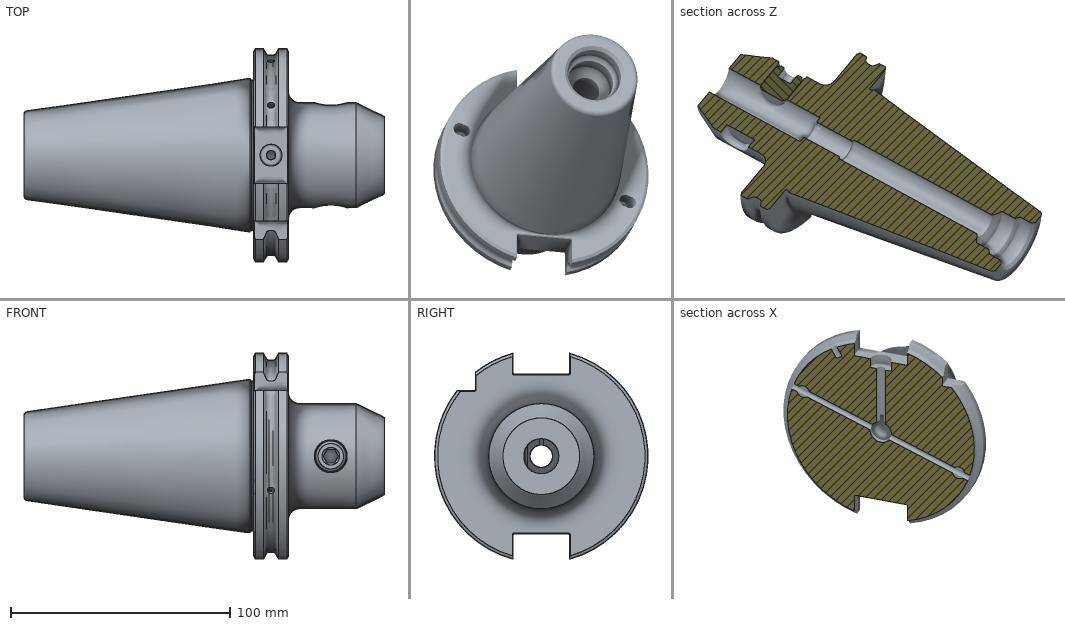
import cadquery as cq
import math


gauge_radius = 69.85 / 2
taper_length = 101.75
taper_slope = 7 / 48
small_end_radius = gauge_radius - taper_length * taper_slope
small_end_fillet = 2.0
collar_start_x = 0.5
collar_radius = gauge_radius + collar_start_x * taper_slope
collar_end_x = 1.4
neck_start_x = 2.2
neck_radius = 34.3

flange_radius = 97.5 / 2
flange_start_x = 3.2
flange_end_x = 19.1
flange_edge_chamfer_axial = 0.8
flange_edge_chamfer_radial = 1.4
groove_center_x = 11.1
groove_floor_radius = 45.7
groove_mouth_half_width = 3.5
groove_wall_angle = 30.0
groove_floor_fillet = 1.5

slot_width = 25.7
upper_slot_floor_z = 37.5
lower_slot_floor_z = -35.5
notch_wall_y = -30.1
notch_floor_z = 30.0
slot_edge_chamfer = 0.4
slot_corner_fillet = 0.5

nose_radius = 24.0
nose_end_x = 63.0
nose_root_fillet = 5.0
nose_cone_start_x = 50.0
nose_face_radius = 17.5
nose_cone_end_radius = 18.3
nose_edge_chamfer = 1.3

pull_stud_mouth_radius = 14.0
pull_stud_pilot_radius = 12.5
pull_stud_mouth_depth = 1.3
pull_stud_pilot_depth = 7.5
pull_stud_thread_lead_in = 1.5
pull_stud_thread_radius = 10.5
pull_stud_thread_depth = 16.0
drill_tip_half_angle = 59.0
relief_bore_radius = 6.2
stop_thread_radius = 5.1
stop_thread_length = 20.0
tool_bore_radius = 8.0
tool_bore_depth = 50.0

screw_x = 38.4
screw_radius = 7.0
screw_mouth_radius = 7.5
screw_head_y = -22.5
screw_tip_y = -6.2
screw_end_chamfer = 1.2
hex_across_flats = 6.0
hex_depth = 6.0
hex_lead_in_radius = 4.0
balance_hole_depth = 5.0

coolant_angles = (20.0, 200.0)
coolant_entry_radius = 42.2
coolant_hole_diameter = 5.8
coolant_straight_radius = 40.3
coolant_tilt = 15.0
coolant_hole_length = 8.0
cross_hole_diameter = 3.0
extra_cross_hole_angle = 60.0
extra_cross_hole_depth = 5.0

carrier_diameter = 10.0
carrier_depth = 4.6
carrier_pilot_diameter = 4.2


def rod(start, direction, radius, length):
    """Cylinder from a start point along a direction."""
    return cq.Workplane(obj=cq.Solid.makeCylinder(radius, length, cq.Vector(*start), cq.Vector(*direction)))


def cone(start, direction, start_radius, end_radius, length):
    """Truncated cone from a start point along a direction."""
    return cq.Workplane(
        obj=cq.Solid.makeCone(start_radius, end_radius, length, cq.Vector(*start), cq.Vector(*direction))
    )


def radial(angle):
    """Unit vector across the axis, measured from +Y towards +Z."""
    return cq.Vector(0, math.cos(math.radians(angle)), math.sin(math.radians(angle)))


def revolve_about_x(profile):
    return profile.close().revolve(360, (0, 0, 0), (1, 0, 0))


def turned_blank():
    wall_angle = math.radians(groove_wall_angle)
    sweep = math.pi / 2 - wall_angle
    sharp_half_width = groove_mouth_half_width - (flange_radius - groove_floor_radius) * math.tan(wall_angle)
    floor_half_width = sharp_half_width - groove_floor_fillet * math.tan(sweep / 2)
    corner_center_radius = groove_floor_radius + groove_floor_fillet
    wall_foot = floor_half_width + groove_floor_fillet * math.sin(sweep)
    wall_foot_radius = corner_center_radius - groove_floor_fillet * math.cos(sweep)
    arc_mid = floor_half_width + groove_floor_fillet * math.sin(sweep / 2)
    arc_mid_radius = corner_center_radius - groove_floor_fillet * math.cos(sweep / 2)

    fillet_center_radius = nose_radius + nose_root_fillet
    root_mid_offset = nose_root_fillet * math.sqrt(0.5)
    root_end_x = flange_end_x + nose_root_fillet
    shoulder_radius = flange_radius - flange_edge_chamfer_radial
    profile = (
        cq.Workplane("XZ")
        .moveTo(-taper_length, 0)
        .lineTo(-taper_length, small_end_radius)
        .lineTo(collar_start_x, collar_radius)
        .lineTo(collar_end_x, collar_radius)
        .lineTo(neck_start_x, neck_radius)
        .lineTo(flange_start_x, neck_radius)
        .lineTo(flange_start_x, shoulder_radius)
        .lineTo(flange_start_x + flange_edge_chamfer_axial, flange_radius)
        .lineTo(groove_center_x - groove_mouth_half_width, flange_radius)
        .lineTo(groove_center_x - wall_foot, wall_foot_radius)
        .threePointArc(
            (groove_center_x - arc_mid, arc_mid_radius),
            (groove_center_x - floor_half_width, groove_floor_radius),
        )
        .lineTo(groove_center_x + floor_half_width, groove_floor_radius)
        .threePointArc(
            (groove_center_x + arc_mid, arc_mid_radius),
            (groove_center_x + wall_foot, wall_foot_radius),
        )
        .lineTo(groove_center_x + groove_mouth_half_width, flange_radius)
        .lineTo(flange_end_x - flange_edge_chamfer_axial, flange_radius)
        .lineTo(flange_end_x, shoulder_radius)
        .lineTo(flange_end_x, fillet_center_radius)
        .threePointArc(
            (root_end_x - root_mid_offset, fillet_center_radius - root_mid_offset),
            (root_end_x, nose_radius),
        )
        .lineTo(nose_cone_start_x, nose_radius)
        .lineTo(nose_end_x - nose_edge_chamfer, nose_cone_end_radius)
        .lineTo(nose_end_x, nose_face_radius)
        .lineTo(nose_end_x, 0)
    )
    return revolve_about_x(profile).faces("<X").edges().fillet(small_end_fillet)


def central_bore():
    """Stepped bore from the pull stud thread through to the tool bore."""
    mouth_x = -taper_length
    thread_end_x = mouth_x + pull_stud_thread_depth
    tip_slope = math.tan(math.radians(drill_tip_half_angle))
    tip_end_x = thread_end_x + (pull_stud_thread_radius - relief_bore_radius) / tip_slope
    tool_bore_x = nose_end_x - tool_bore_depth
    stop_thread_x = tool_bore_x - stop_thread_length
    profile = (
        cq.Workplane("XZ")
        .moveTo(mouth_x, 0)
        .lineTo(mouth_x, pull_stud_mouth_radius)
        .lineTo(mouth_x + pull_stud_mouth_depth, pull_stud_pilot_radius)
        .lineTo(mouth_x + pull_stud_pilot_depth, pull_stud_pilot_radius)
        .lineTo(mouth_x + pull_stud_pilot_depth + pull_stud_thread_lead_in, pull_stud_thread_radius)
        .lineTo(thread_end_x, pull_stud_thread_radius)
        .lineTo(tip_end_x, relief_bore_radius)
        .lineTo(stop_thread_x, relief_bore_radius)
        .lineTo(stop_thread_x, stop_thread_radius)
        .lineTo(tool_bore_x, stop_thread_radius)
        .lineTo(tool_bore_x, tool_bore_radius)
        .lineTo(nose_end_x, tool_bore_radius)
        .lineTo(nose_end_x, 0)
    )
    return revolve_about_x(profile)


def flange_block(y_min, y_max, z_min, z_max):
    """Block across the flange with rounded long edges, flaring at both flange faces by the slot chamfer."""
    core_start_x = flange_start_x + slot_edge_chamfer
    core_length = flange_end_x - flange_start_x - 2 * slot_edge_chamfer
    center = (core_start_x, (y_min + y_max) / 2, (z_min + z_max) / 2)
    block = (
        cq.Workplane("YZ", origin=center)
        .rect(y_max - y_min, z_max - z_min)
        .extrude(core_length)
        .edges("|X")
        .fillet(slot_corner_fillet)
    )
    for face in ("<X", ">X"):
        block = block.faces(face).wires().toPending().workplane().extrude(slot_edge_chamfer, taper=-45)
    return block


def flange_cutouts():
    half_slot = slot_width / 2
    beyond = flange_radius + 2
    upper_slot = flange_block(-half_slot, half_slot, upper_slot_floor_z, beyond)
    lower_slot = flange_block(-half_slot, half_slot, -beyond, lower_slot_floor_z)
    notch = flange_block(-beyond, notch_wall_y, notch_floor_z, beyond)
    return [upper_slot, lower_slot, notch]


def carrier_pocket():
    """Flat pocket in the upper slot floor with a small hole going on into the central bore."""
    down = (0, 0, -1)
    pocket = rod((groove_center_x, 0, upper_slot_floor_z), down, carrier_diameter / 2, carrier_depth)
    pilot_top = (groove_center_x, 0, upper_slot_floor_z - carrier_depth)
    return pocket.union(rod(pilot_top, down, carrier_pilot_diameter / 2, pilot_top[2]))


def coolant_hole(angle):
    """Straight hole in the rear flange face merged with an outer one that leans inwards."""
    tilt = math.radians(coolant_tilt)
    outward = radial(angle)
    face = cq.Vector(flange_start_x, 0, 0)
    radius = coolant_hole_diameter / 2
    straight_start = outward * coolant_straight_radius + face
    straight = rod(straight_start.toTuple(), (1, 0, 0), radius, coolant_hole_length)
    direction = cq.Vector(math.cos(tilt), 0, 0) - outward * math.sin(tilt)
    leaning_start = outward * coolant_entry_radius + face - direction * radius
    leaning = rod(leaning_start.toTuple(), direction.toTuple(), radius, coolant_hole_length + radius)
    return straight.union(leaning)


def cross_hole(angle, length):
    """Radial hole from the groove towards the axis."""
    outward = radial(angle)
    start = outward * flange_radius + cq.Vector(groove_center_x, 0, 0)
    return rod(start.toTuple(), (-outward).toTuple(), cross_hole_diameter / 2, length)


def screw_hole():
    mouth_chamfer = screw_mouth_radius - screw_radius
    surface_y = -math.sqrt(nose_radius**2 - screw_mouth_radius**2)
    hole = rod((screw_x, -nose_radius, 0), (0, 1, 0), screw_radius, nose_radius)
    mouth = rod((screw_x, -nose_radius, 0), (0, 1, 0), screw_mouth_radius, nose_radius + surface_y)
    chamfer = cone((screw_x, surface_y, 0), (0, 1, 0), screw_mouth_radius, screw_radius, mouth_chamfer)
    return hole.union(mouth).union(chamfer)


def balance_hole():
    return rod((screw_x, nose_radius, 0), (0, -1, 0), screw_mouth_radius, balance_hole_depth)


def make_clamping_screw():
    length = screw_tip_y - screw_head_y
    head = (screw_x, screw_head_y, 0)
    screw = rod(head, (0, 1, 0), screw_radius, length).edges().chamfer(screw_end_chamfer)
    hex_circumscribed = hex_across_flats / math.cos(math.radians(30))
    socket = cq.Workplane("XZ", origin=head).polygon(6, hex_circumscribed).extrude(-hex_depth)
    hex_inner_radius = hex_across_flats / 2
    lead_in_depth = hex_lead_in_radius - hex_inner_radius
    lead_in = cone(head, (0, 1, 0), hex_lead_in_radius, hex_inner_radius, lead_in_depth)
    return screw.cut(socket).cut(lead_in)


def make_holder():
    holder = turned_blank().cut(central_bore())
    for cutout in flange_cutouts():
        holder = holder.cut(cutout)
    holder = holder.cut(carrier_pocket())
    for angle in coolant_angles:
        holder = holder.cut(coolant_hole(angle))
        holder = holder.cut(cross_hole(angle, flange_radius - stop_thread_radius / 2))
    groove_depth = flange_radius - groove_floor_radius
    holder = holder.cut(cross_hole(extra_cross_hole_angle, groove_depth + extra_cross_hole_depth))
    return holder.cut(screw_hole()).cut(balance_hole())


holder = make_holder()
clamping_screw = make_clamping_screw()
result = cq.Compound.makeCompound([holder.val(), clamping_screw.val()])